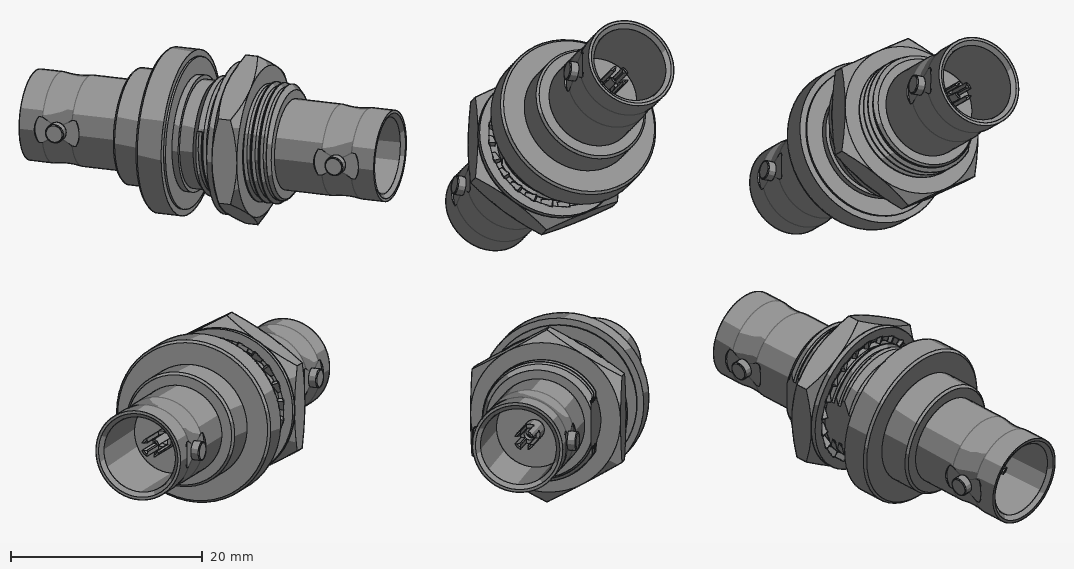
import cadquery as cq
import math

total_length = 39.6
end_x = total_length / 2

barrel_radius = 4.81
barrel_groove_distance = 4.2
barrel_groove_width = 3.3
barrel_groove_depth = 0.16
pin_radius = 1.0
pin_tip_radius = 5.53
pin_chamfer = 0.1
spotface_radius = 2.5
spotface_height = 4.6

mouth_radius = 4.5
bore_radius = 4.05
mouth_taper_length = 0.4
bore_depth = 8.5
contact_radius = 1.05
contact_setback = 3.3
contact_hole_radius = 0.65
contact_hole_depth = 4.0
contact_hole_tip_radius = 0.17
contact_hole_chamfer = 0.2
contact_hole_cone_length = 0.6
contact_slot_width = 0.8
contact_slot_depth = 3.0

shoulder_start_x = -8.85
flange_start_x = -5.33
gasket_start_x = -2.42
collar_start_x = -2.2
neck_start_x = -1.5
thread_start_x = 0.0
thread_end_x = 8.73
shoulder_radius = 6.17
flange_radius = 8.75
gasket_radius = 8.05
neck_radius = 5.75
edge_chamfer = 0.25
body_flat_height = 5.47

thread_radius = 12.7 / 2
thread_pitch = 25.4 / 28
thread_root_radius = 5.95
thread_half_angle = math.radians(30)
thread_chamfer = thread_radius - neck_radius
helix_start_x = 0.77
helix_end_x = 8.6
helix_start_angle = 159

washer_start_x = 2.4
washer_radius = 8.05
washer_bore_radius = 7.0
nut_start_x = 2.98
nut_end_x = 5.75
nut_across_flats = 16.0
nut_chamfer_angle = math.radians(30)
nut_bore_radius = thread_root_radius - 0.05
tooth_count = 22
tooth_width = 1.2
tooth_thickness = 0.45
tooth_twist = 30
tooth_inner_radius = 6.35
first_tooth_angle = 44


def revolve_about_x(points):
    """Solid of revolution about X from (x, radius) points that start and end on the axis."""
    return cq.Workplane("XY").polyline(points).close().revolve(360, (0, 0, 0), (1, 0, 0))


def disc(start_x, stop_x, radius):
    return cq.Workplane("YZ", origin=(start_x, 0, 0)).circle(radius).extrude(stop_x - start_x)


def make_body():
    """Turned centre section with the flat on its +Y side."""
    shoulder = disc(shoulder_start_x, flange_start_x, shoulder_radius).faces("<X").chamfer(edge_chamfer)
    flange = disc(flange_start_x, gasket_start_x, flange_radius).faces("<X").chamfer(edge_chamfer)
    gasket = disc(gasket_start_x, collar_start_x, gasket_radius)

    collar = disc(collar_start_x, neck_start_x, shoulder_radius)
    neck = disc(neck_start_x, thread_start_x, neck_radius)
    thread_blank = disc(thread_start_x, thread_end_x, thread_radius)
    thread_envelope = thread_blank.edges().chamfer(thread_chamfer)
    thread = thread_blank.cut(make_thread_groove()).intersect(thread_envelope)

    front = collar.union(neck).union(thread)
    front_length = thread_end_x - collar_start_x
    flat_cutter = cq.Workplane("XY").box(
        front_length, thread_radius, 2 * flange_radius, centered=(False, False, True)
    ).translate((collar_start_x, body_flat_height, 0))
    return shoulder.union(flange).union(gasket).union(front.cut(flat_cutter))


def make_thread_groove():
    """Right-handed V groove with a flat root, swept along a helix about X."""
    outer_radius = thread_radius + 0.1
    crest_width = thread_pitch / 8
    slope = math.tan(thread_half_angle)
    outer_half_width = (thread_pitch - crest_width) / 2 + (outer_radius - thread_radius) * slope
    root_half_width = outer_half_width - (outer_radius - thread_root_radius) * slope

    helix = cq.Wire.makeHelix(thread_pitch, helix_end_x - helix_start_x, thread_root_radius)
    groove = (
        cq.Workplane("XZ")
        .moveTo(thread_root_radius, -root_half_width)
        .lineTo(outer_radius, -outer_half_width)
        .lineTo(outer_radius, outer_half_width)
        .lineTo(thread_root_radius, root_half_width)
        .close()
        .sweep(cq.Workplane(obj=helix), isFrenet=True)
    )
    groove = groove.rotate((0, 0, 0), (0, 1, 0), 90)
    return groove.rotate((0, 0, 0), (1, 0, 0), helix_start_angle + 90).translate((helix_start_x, 0, 0))


def make_nut():
    """Hexagon nut with corners on +Z and -Z and both faces chamfered."""
    corner_radius = nut_across_flats / math.sqrt(3)
    face_radius = nut_across_flats / 2
    chamfer_length = (corner_radius - face_radius) * math.tan(nut_chamfer_angle)

    hexagon = (
        cq.Workplane("YZ", origin=(nut_start_x, 0, 0))
        .transformed(rotate=(0, 0, 90))
        .polygon(6, 2 * corner_radius)
        .extrude(nut_end_x - nut_start_x)
    )
    envelope = revolve_about_x([
        (nut_start_x, 0),
        (nut_start_x, face_radius),
        (nut_start_x + chamfer_length, corner_radius),
        (nut_end_x - chamfer_length, corner_radius),
        (nut_end_x, face_radius),
        (nut_end_x, 0),
    ])
    return hexagon.intersect(envelope).cut(disc(nut_start_x, nut_end_x, nut_bore_radius))


def make_washer():
    """Lock washer with a ring of twisted internal teeth."""
    washer = disc(washer_start_x, nut_start_x, washer_radius)
    washer = washer.cut(disc(washer_start_x, nut_start_x, washer_bore_radius))
    tooth_length = washer_bore_radius + 0.1 - tooth_inner_radius
    middle_x = (washer_start_x + nut_start_x) / 2
    tooth = (
        cq.Workplane("XY")
        .box(tooth_thickness, tooth_length, tooth_width, centered=(True, False, True))
        .rotate((0, 0, 0), (0, 1, 0), tooth_twist)
        .translate((middle_x, tooth_inner_radius, 0))
    )
    for i in range(tooth_count):
        angle = first_tooth_angle + i * 360 / tooth_count
        washer = washer.union(tooth.rotate((0, 0, 0), (1, 0, 0), angle))
    return washer


def make_barrel():
    """Barrel at the -X end: waisted tube with two seated pins on +Y and -Y."""
    groove_x = -end_x + barrel_groove_distance
    groove_start = groove_x - barrel_groove_width / 2
    groove_end = groove_x + barrel_groove_width / 2
    barrel = (
        cq.Workplane("XY")
        .moveTo(-end_x, 0)
        .lineTo(-end_x, barrel_radius)
        .lineTo(groove_start, barrel_radius)
        .threePointArc((groove_x, barrel_radius - barrel_groove_depth), (groove_end, barrel_radius))
        .lineTo(shoulder_start_x, barrel_radius)
        .lineTo(shoulder_start_x, 0)
        .close()
        .revolve(360, (0, 0, 0), (1, 0, 0))
    )
    pin_base = (bore_radius + spotface_height) / 2
    for side in (1, -1):
        seat = cq.Workplane("XZ", origin=(groove_x, side * spotface_height, 0))
        barrel = barrel.cut(seat.circle(spotface_radius).extrude(-side * barrel_radius))
    for side in (1, -1):
        pin = (
            cq.Workplane("XZ", origin=(groove_x, side * pin_base, 0))
            .circle(pin_radius)
            .extrude(-side * (pin_tip_radius - pin_base))
            .faces(">Y" if side > 0 else "<Y")
            .chamfer(pin_chamfer)
        )
        barrel = barrel.union(pin)
    return barrel


def make_bore():
    """Space inside the -X barrel: tapered mouth and flat-bottomed bore around the slotted contact."""
    floor_x = -end_x + bore_depth
    tip_x = -end_x + contact_setback
    bore = revolve_about_x([
        (-end_x, 0),
        (-end_x, mouth_radius),
        (-end_x + mouth_taper_length, bore_radius),
        (floor_x, bore_radius),
        (floor_x, 0),
    ])
    cone_x = tip_x + contact_hole_depth
    hole = revolve_about_x([
        (tip_x, 0),
        (tip_x, contact_hole_radius + contact_hole_chamfer),
        (tip_x + contact_hole_chamfer, contact_hole_radius),
        (cone_x, contact_hole_radius),
        (cone_x + contact_hole_cone_length, contact_hole_tip_radius),
        (cone_x + contact_hole_cone_length, 0),
    ])
    contact = disc(tip_x, floor_x, contact_radius).cut(hole)
    slot = cq.Workplane("XY").box(
        contact_slot_depth, 2 * contact_radius, contact_slot_width, centered=(False, True, True)
    ).translate((tip_x, 0, 0))
    for angle in (0, 90):
        contact = contact.cut(slot.rotate((0, 0, 0), (1, 0, 0), angle))
    return bore.cut(contact)


barrel = make_barrel()
bore = make_bore()
far_barrel_core = disc(thread_end_x, -shoulder_start_x, barrel_radius)

result = make_body().union(make_nut()).union(make_washer())
result = result.union(barrel).union(barrel.mirror("YZ")).union(far_barrel_core)
result = result.cut(bore).cut(bore.mirror("YZ"))